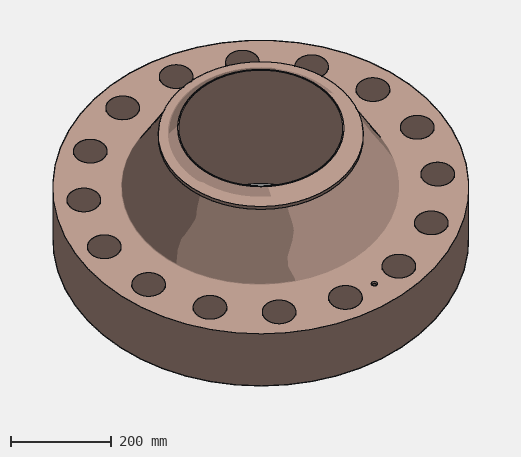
import cadquery as cq
import math

flange_diameter = 825.0
flange_thickness = 146.0
flange_radius = flange_diameter / 2

face_diameter = 470.0
overall_height = 318.0
face_height = 7.0

hub_base_diameter = 551.0
hub_fillet_radius = 3.0
neck_diameter = 407.0
neck_length = 8.0
bore_diameter = 325.0

root_land = 2.5
bevel_break_diameter = 365.0
bevel_fillet_radius = 6.0
shallow_bevel_angle = 10.0
steep_bevel_angle = 37.5

bolt_count = 16
bolt_circle_diameter = 706.0
bolt_hole_diameter = 67.0

small_hole_diameter = 7.5
small_hole_mouth_diameter = 12.0
small_hole_depth = 25.0

selection_margin = 0.4

plate_top = face_height + flange_thickness
root_radius = bore_diameter / 2 + root_land
break_radius = bevel_break_diameter / 2
neck_radius = neck_diameter / 2
steep_bevel_height = (break_radius - root_radius) * math.tan(math.radians(steep_bevel_angle))
shallow_bevel_height = (neck_radius - break_radius) * math.tan(math.radians(shallow_bevel_angle))
break_height = overall_height - steep_bevel_height
neck_top = break_height - shallow_bevel_height


def ring_selector(radius, height):
    """Selector for the circular edge of the given radius around Z at the given height."""
    reach = radius + selection_margin
    return cq.selectors.BoxSelector(
        (-reach, -reach, height - selection_margin),
        (reach, reach, height + selection_margin),
        boundingbox=True,
    )


def revolved_body():
    """Plate, raised face and welding neck, turned about Z with the bore open."""
    bore_radius = bore_diameter / 2
    hub_base_radius = hub_base_diameter / 2
    body = (
        cq.Workplane("XZ")
        .moveTo(bore_radius, 0)
        .lineTo(face_diameter / 2, 0)
        .lineTo(face_diameter / 2, face_height)
        .lineTo(flange_radius, face_height)
        .lineTo(flange_radius, plate_top)
        .lineTo(hub_base_radius, plate_top)
        .lineTo(neck_radius, neck_top - neck_length)
        .lineTo(neck_radius, neck_top)
        .lineTo(break_radius, break_height)
        .lineTo(root_radius, overall_height)
        .lineTo(bore_radius, overall_height)
        .close()
        .revolve(360, (0, 0, 0), (0, 1, 0))
    )
    body = body.edges(ring_selector(hub_base_radius, plate_top)).fillet(hub_fillet_radius)
    return body.edges(ring_selector(break_radius, break_height)).fillet(bevel_fillet_radius)


def bolt_holes():
    """Through holes evenly spaced on the bolt circle, the first on +X."""
    return (
        cq.Workplane("XY")
        .polarArray(bolt_circle_diameter / 2, 0, 360, bolt_count)
        .circle(bolt_hole_diameter / 2)
        .extrude(plate_top)
    )


def small_hole():
    """Blind hole with a 90 degree countersink, half a bolt pitch from +X."""
    angle = math.radians(360 / bolt_count / 2)
    bolt_circle_radius = bolt_circle_diameter / 2
    mouth_radius = small_hole_mouth_diameter / 2
    radius = small_hole_diameter / 2
    tool = (
        cq.Workplane("XZ")
        .moveTo(0, 0)
        .lineTo(mouth_radius, 0)
        .lineTo(radius, radius - mouth_radius)
        .lineTo(radius, -small_hole_depth)
        .lineTo(0, -small_hole_depth)
        .close()
        .revolve(360, (0, 0, 0), (0, 1, 0))
    )
    return tool.translate(
        (bolt_circle_radius * math.cos(angle), bolt_circle_radius * math.sin(angle), plate_top)
    )


result = revolved_body().cut(bolt_holes()).cut(small_hole())